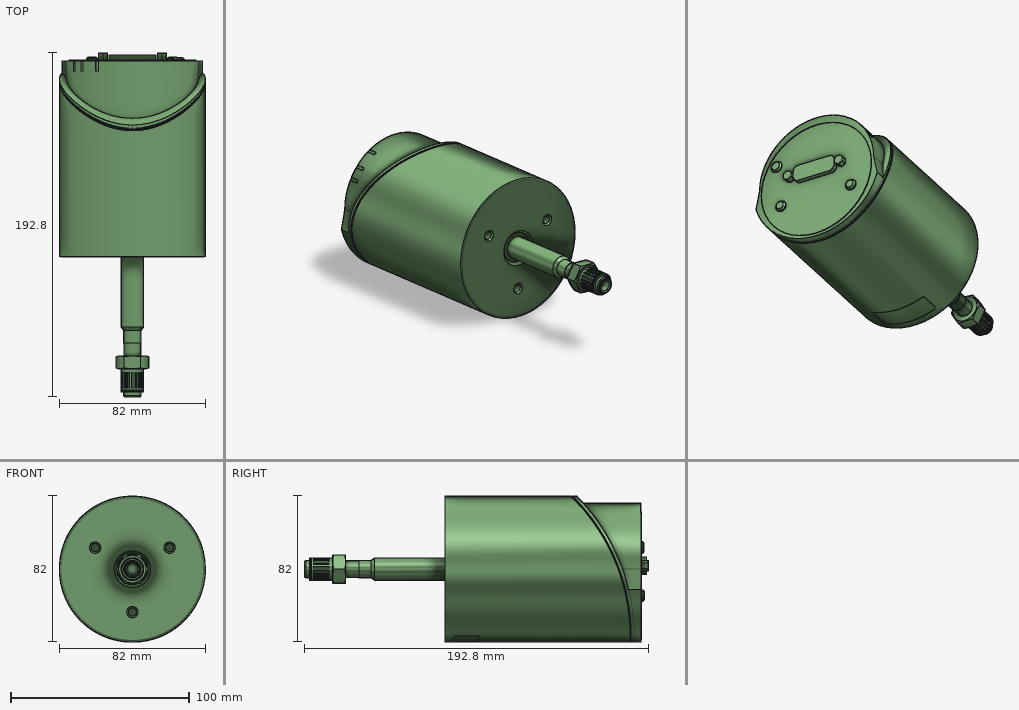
import cadquery as cq
import math

overall_length = 192.8
shaft_length = 78.7
overlap = 1.0
hex_sides = 6
half_side_angle = 180 / hex_sides

housing_diameter = 82.0
housing_radius = housing_diameter / 2
housing_length = 109.9
front_chamfer_width = 1.0
front_chamfer_depth = 0.2
rear_radius = 37.0
flank_end_z = -11.4
shoulder_radius = 112.2
shoulder_y = -6.0
shoulder_z = -37.8
seam_offset = 1.7
seam_width = 0.5
seam_depth = 0.5

mount_hole_count = 3
mount_circle_radius = 24.0
mount_hole_diameter = 6.4
mount_pilot_diameter = 4.6
mount_countersink_depth = 1.0
mount_hole_depth = 7.7
shaft_recess_outer_diameter = 20.5
shaft_recess_inner_diameter = 17.3
shaft_recess_depth = 1.5

label_width = 33.2
label_length = 14.3
label_front = 5.0
label_corner = 1.5
label_depth = 0.1

slot_angles = (32.4, 50.0, 62.0)
slot_width = 1.7
slot_length = 5.8
slot_depth = 0.2

cover_radius = 35.7
cover_z = -3.7
cover_thickness = 0.4
connector_z = 2.0
connector_width = 26.5
connector_height = 9.8
connector_corner = 3.0
connector_projection = 3.3
jack_projection = overall_length - shaft_length - housing_length
jack_spacing = 33.2
jack_across_flats = 5.0
screw_spacing = 45.3
screw_z = -14.8
screw_diameter = 6.4
screw_projection = 2.1
button_x = 25.6
button_z = 12.1
button_diameter = 7.0
button_projection = 1.7
head_chamfer = 1.0

shaft_diameter = 12.7
shaft_shoulder = 39.3
neck_start = 41.3
neck_diameter = 9.8
neck_step = 48.2
neck_small_diameter = 9.5
nut_start = 55.5
nut_end = 62.8
nut_across_flats = 16.0
nut_chamfer_width = 1.5
nut_chamfer_depth = 0.5
spline_start = 64.8
spline_end = 73.6
tip_groove_start = 74.8
tip_groove_end = 75.4
tip_groove_diameter = 11.8
tip_start = 75.8
tip_diameter = 9.8
tip_end_diameter = 8.9
tip_chamfer_length = 0.8
bore_diameter = 6.4
bore_mouth_diameter = 7.9
bore_chamfer = 0.5
bore_depth = 5.8
spline_count = 18
spline_groove_width = 1.0
spline_groove_depth = 0.5


def facing_front(y):
    """Sketch plane at the given Y: local x is X, local y is Z, normal is -Y."""
    return cq.Workplane("XZ", origin=(0, y, 0))


def disc(diameter, y_start, y_end):
    return facing_front(y_start).circle(diameter / 2).extrude(y_start - y_end)


def cone(start_diameter, end_diameter, y_start, y_end):
    profile = [
        (0, y_start),
        (start_diameter / 2, y_start),
        (end_diameter / 2, y_end),
        (0, y_end),
    ]
    return cq.Workplane("XY").polyline(profile).close().revolve(360, (0, 0), (0, 1))


def shoulder_disc(radius):
    return (
        cq.Workplane("YZ", origin=(-housing_radius, shoulder_y, shoulder_z))
        .circle(radius)
        .extrude(housing_diameter)
    )


def make_housing():
    face_diameter = housing_diameter - 2 * front_chamfer_width
    sleeve = disc(housing_diameter, front_chamfer_depth, housing_length)
    sleeve = sleeve.union(cone(face_diameter, housing_diameter, 0, front_chamfer_depth))
    sleeve = sleeve.intersect(shoulder_disc(shoulder_radius))

    flank_x = math.sqrt(housing_radius**2 - flank_end_z**2)
    rear_start = housing_length / 2
    rear = (
        facing_front(rear_start)
        .moveTo(rear_radius, 0)
        .threePointArc((0, rear_radius), (-rear_radius, 0))
        .lineTo(-flank_x, flank_end_z)
        .threePointArc((0, -housing_radius), (flank_x, flank_end_z))
        .close()
        .extrude(rear_start - housing_length)
    )
    return sleeve.union(rear)


def make_seam():
    outer = shoulder_radius - seam_offset
    band = shoulder_disc(outer).cut(shoulder_disc(outer - seam_width))
    core = disc(housing_diameter - 2 * seam_depth, 0, housing_length)
    return band.cut(core)


def make_label_recess():
    pad = (
        cq.Workplane("XY", origin=(0, label_front + label_length / 2, -housing_radius))
        .rect(label_width, label_length)
        .extrude(housing_radius)
        .edges("|Z")
        .fillet(label_corner)
    )
    return pad.cut(disc(housing_diameter - 2 * label_depth, 0, housing_length))


def make_mount_holes():
    countersink = cone(mount_hole_diameter, mount_pilot_diameter, 0, mount_countersink_depth)
    hole = disc(mount_pilot_diameter, 0, mount_hole_depth).union(countersink)
    hole = hole.translate((0, 0, -mount_circle_radius))
    holes = hole
    for i in range(1, mount_hole_count):
        holes = holes.union(hole.rotate((0, 0, 0), (0, 1, 0), i * 360 / mount_hole_count))
    return holes


def make_slot(angle):
    slot = cq.Workplane("XY").box(slot_width, slot_length, 2 * slot_depth)
    slot = slot.translate((0, housing_length - slot_length / 2, rear_radius))
    return slot.rotate((0, 0, 0), (0, 1, 0), -angle)


def rear_head(x, z, diameter, projection):
    return (
        facing_front(housing_length - overlap)
        .center(x, z)
        .circle(diameter / 2)
        .extrude(-(projection + overlap))
        .faces(">Y")
        .chamfer(head_chamfer)
    )


def make_rear_fittings():
    base = facing_front(housing_length - overlap)
    fittings = base.center(0, cover_z).circle(cover_radius).extrude(-(cover_thickness + overlap))
    connector = (
        facing_front(housing_length - overlap)
        .center(0, connector_z)
        .rect(connector_width, connector_height)
        .extrude(-(connector_projection + overlap))
        .edges("|Y")
        .fillet(connector_corner)
    )
    fittings = fittings.union(connector)
    for side in (-1, 1):
        jack = hexagon(jack_across_flats, jack_projection + overlap)
        jack = jack.rotate((0, 0, 0), (0, 1, 0), half_side_angle)
        jack = jack.translate((side * jack_spacing / 2, housing_length - overlap, connector_z))
        screw = rear_head(side * screw_spacing / 2, screw_z, screw_diameter, screw_projection)
        fittings = fittings.union(jack).union(screw)
    return fittings.union(rear_head(button_x, button_z, button_diameter, button_projection))


def hex_corner_diameter(across_flats):
    return across_flats / math.cos(math.radians(half_side_angle))


def hexagon(across_flats, length):
    """Hexagonal bar from Y = 0 toward +Y with corners on the X axis."""
    return facing_front(0).polygon(hex_sides, hex_corner_diameter(across_flats)).extrude(-length)


def make_nut():
    corner_diameter = hex_corner_diameter(nut_across_flats)
    nut = hexagon(nut_across_flats, nut_end - nut_start).translate((0, -nut_end, 0))
    end_diameter = corner_diameter - 2 * nut_chamfer_width
    front_edge = -nut_end + nut_chamfer_depth
    rear_edge = -nut_start - nut_chamfer_depth
    rounding = (
        disc(corner_diameter, front_edge, rear_edge)
        .union(cone(end_diameter, corner_diameter, -nut_end, front_edge))
        .union(cone(corner_diameter, end_diameter, rear_edge, -nut_start))
    )
    return nut.intersect(rounding)


def make_spline_grooves():
    length = spline_end - spline_start
    middle = -(spline_start + spline_end) / 2
    groove = cq.Workplane("XY").box(spline_groove_width, length, 2 * spline_groove_depth)
    groove = groove.translate((0, middle, shaft_diameter / 2))
    grooves = groove
    for i in range(1, spline_count):
        grooves = grooves.union(groove.rotate((0, 0, 0), (0, 1, 0), i * 360 / spline_count))
    return grooves


def make_shaft():
    outline = [
        (0, shaft_recess_depth + overlap),
        (shaft_diameter / 2, shaft_recess_depth + overlap),
        (shaft_diameter / 2, -shaft_shoulder),
        (neck_diameter / 2, -neck_start),
        (neck_diameter / 2, -neck_step),
        (neck_small_diameter / 2, -neck_step),
        (neck_small_diameter / 2, -nut_end),
        (shaft_diameter / 2, -nut_end),
        (shaft_diameter / 2, -tip_groove_start),
        (tip_groove_diameter / 2, -tip_groove_start),
        (tip_groove_diameter / 2, -tip_groove_end),
        (shaft_diameter / 2, -tip_groove_end),
        (shaft_diameter / 2, -tip_start),
        (tip_diameter / 2, -tip_start),
        (tip_diameter / 2, -(shaft_length - tip_chamfer_length)),
        (tip_end_diameter / 2, -shaft_length),
        (0, -shaft_length),
    ]
    shaft = cq.Workplane("XY").polyline(outline).close().revolve(360, (0, 0), (0, 1))
    bore = disc(bore_diameter, -shaft_length, bore_depth - shaft_length)
    mouth = cone(bore_mouth_diameter, bore_diameter, -shaft_length, bore_chamfer - shaft_length)
    return shaft.union(make_nut()).cut(make_spline_grooves()).cut(bore).cut(mouth)


body = make_housing().cut(make_seam()).cut(make_label_recess()).cut(make_mount_holes())
body = body.cut(cone(shaft_recess_outer_diameter, shaft_recess_inner_diameter, 0, shaft_recess_depth))
for slot_angle in slot_angles:
    body = body.cut(make_slot(slot_angle))

result = body.union(make_rear_fittings()).union(make_shaft())